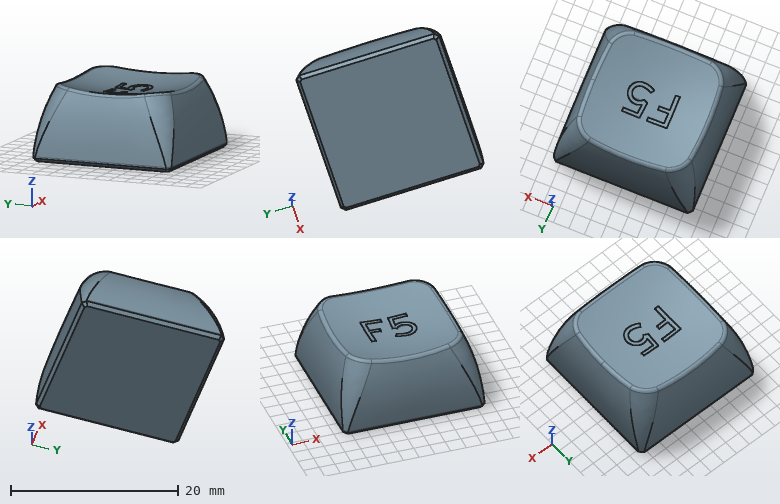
import cadquery as cq
import math

BASE_HALF = 9.0
BASE_CORNER = 0.5
FOOT_CHAMFER = 0.42
WALL_START = 0.65

REF_HEIGHT = 8.0
SIDE_INSET = 1.42
SIDE_INSET_POWER = 2.4
SIDE_BOW = 0.12
CORNER_SHIFT = 3.45
CORNER_SHIFT_POWER = 1.2
CORNER_BULGE = 0.33
CORNER_BULGE_POWER = 0.4
WALL_TOP = 10.0
STEP_COUNT = 6

DISH_RADIUS = 30.0
DISH_BOTTOM = 7.77
LIP_FILLET = 0.5

INLAY_FLOOR = 7.0
INLAY_HEIGHT = 2.0
TEXT_TOP = 2.14
TEXT_BOTTOM = -2.06
BAR = 0.46
STEM = 0.54

F_LEFT = -3.04
F_TOP_BAR = 2.58
F_MID_BAR = 1.88
F_MID_TOP = 0.35

FIVE_BAR_LEFT = 0.49
FIVE_BAR_RIGHT = 2.76
FIVE_STEM_TOP = 0.94
FIVE_STEM_FOOT = (0.325, 0.06)
BOWL_CENTER = (1.62, -0.70)
BOWL_RADIUS = 1.43
STROKE = 0.52
BOWL_OUTER_START = 123.0
BOWL_INNER_START = 147.0
TAIL_RADIUS = 2.80
TAIL_ANGLE = 32.0


def quarter_turned(point, quarter):
    """Point turned about the Z axis by a number of quarter turns."""
    x, y = point
    for _ in range(quarter):
        x, y = -y, x
    return (x, y)


def bend(section, height, quarter, through, to):
    """Add one edge, turned by quarter turns: an arc, or a line on the flat-sided lowest section."""
    through = quarter_turned(through, quarter)
    to = quarter_turned(to, quarter)
    if height == WALL_START:
        return section.lineTo(*to)
    return section.threePointArc(through, to)


def wall_section(height):
    """Closed wire of the curved wall at a height."""
    rise = (height - WALL_START) / REF_HEIGHT
    middle = BASE_HALF - SIDE_INSET * rise ** SIDE_INSET_POWER
    side = middle - SIDE_BOW * rise
    end = BASE_HALF - BASE_CORNER - CORNER_SHIFT * rise ** CORNER_SHIFT_POWER
    corner_arc_height = CORNER_BULGE * rise ** CORNER_BULGE_POWER * (side - end) / math.sqrt(2)
    corner = (side + end) / 2 + corner_arc_height / math.sqrt(2)

    section = cq.Workplane("XY", origin=(0, 0, height)).moveTo(side, -end)
    for quarter in range(4):
        section = bend(section, height, quarter, (middle, 0), (side, end))
        section = bend(section, height, quarter, (corner, corner), (end, side))
    return section.close().val()


def cap_wall():
    """Curved wall, lofted smoothly through its sections."""
    step = (WALL_TOP - WALL_START) / STEP_COUNT
    sections = [wall_section(WALL_START + step * n) for n in range(STEP_COUNT + 1)]
    return cq.Workplane(cq.Solid.makeLoft(sections))


def base_skirt():
    """Straight skirt with cut corners and a chamfered underside."""
    return (
        cq.Workplane("XY")
        .rect(2 * BASE_HALF, 2 * BASE_HALF)
        .extrude(WALL_START)
        .edges("|Z")
        .chamfer(BASE_CORNER)
        .faces("<Z")
        .edges()
        .chamfer(FOOT_CHAMFER)
    )


def dish_ball():
    """Ball whose underside shapes the dished top."""
    return cq.Workplane("XY", origin=(0, 0, DISH_BOTTOM + DISH_RADIUS)).sphere(DISH_RADIUS)


def cap_blank(dish):
    """Whole key cap, with its dish and rounded lip, before the legend is cut."""
    lip_zone = cq.selectors.BoxSelector(
        (-BASE_HALF, -BASE_HALF, DISH_BOTTOM), (BASE_HALF, BASE_HALF, WALL_TOP), boundingbox=True
    )
    top = cap_wall().cut(dish).edges(lip_zone).fillet(LIP_FILLET)
    return base_skirt().union(top)


def letter_f():
    """Upright prism with the outline of the F."""
    stem_right = F_LEFT + STEM
    return (
        cq.Workplane("XY", origin=(0, 0, INLAY_FLOOR))
        .moveTo(F_LEFT, TEXT_BOTTOM)
        .lineTo(F_LEFT, TEXT_TOP)
        .lineTo(F_LEFT + F_TOP_BAR, TEXT_TOP)
        .lineTo(F_LEFT + F_TOP_BAR, TEXT_TOP - BAR)
        .lineTo(stem_right, TEXT_TOP - BAR)
        .lineTo(stem_right, F_MID_TOP)
        .lineTo(F_LEFT + F_MID_BAR, F_MID_TOP)
        .lineTo(F_LEFT + F_MID_BAR, F_MID_TOP - BAR)
        .lineTo(stem_right, F_MID_TOP - BAR)
        .lineTo(stem_right, TEXT_BOTTOM)
        .close()
        .extrude(INLAY_HEIGHT)
    )


def polar(center, radius, degrees):
    """Point at an angle on a circle."""
    angle = math.radians(degrees)
    return (center[0] + radius * math.cos(angle), center[1] + radius * math.sin(angle))


def digit_five():
    """Upright prism with the outline of the 5: bar, slanted stem, round bowl and flatter tail."""
    bowl_inner = BOWL_RADIUS - STROKE
    tail_inner = TAIL_RADIUS - STROKE
    tail_center = (BOWL_CENTER[0], BOWL_CENTER[1] - BOWL_RADIUS + TAIL_RADIUS)
    tail_end = -90 - TAIL_ANGLE
    tail_middle = -90 - TAIL_ANGLE / 2
    return (
        cq.Workplane("XY", origin=(0, 0, INLAY_FLOOR))
        .moveTo(*FIVE_STEM_FOOT)
        .lineTo(FIVE_BAR_LEFT, TEXT_TOP)
        .lineTo(FIVE_BAR_RIGHT, TEXT_TOP)
        .lineTo(FIVE_BAR_RIGHT, TEXT_TOP - BAR)
        .lineTo(FIVE_STEM_TOP, TEXT_TOP - BAR)
        .lineTo(*polar(BOWL_CENTER, BOWL_RADIUS, BOWL_OUTER_START))
        .threePointArc(polar(BOWL_CENTER, BOWL_RADIUS, 0), polar(BOWL_CENTER, BOWL_RADIUS, -90))
        .threePointArc(
            polar(tail_center, TAIL_RADIUS, tail_middle),
            polar(tail_center, TAIL_RADIUS, tail_end),
        )
        .lineTo(*polar(tail_center, tail_inner, tail_end))
        .threePointArc(
            polar(tail_center, tail_inner, tail_middle),
            polar(tail_center, tail_inner, -90),
        )
        .threePointArc(
            polar(BOWL_CENTER, bowl_inner, 0),
            polar(BOWL_CENTER, bowl_inner, BOWL_INNER_START),
        )
        .close()
        .extrude(INLAY_HEIGHT)
    )


dish = dish_ball()
blank = cap_blank(dish)
inlay_f = letter_f().cut(dish)
inlay_five = digit_five().cut(dish)
cap = blank.cut(inlay_f).cut(inlay_five)

result = cq.Compound.makeCompound([cap.val(), inlay_f.val(), inlay_five.val()])